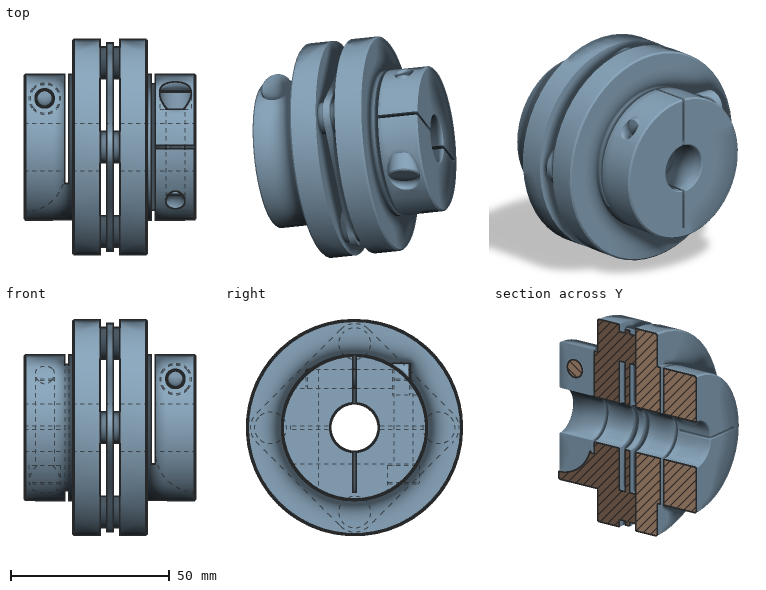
import cadquery as cq
import math


overall_length = 54.0
hub_radius = 23.0
bore_radius = 7.5
flange_radius = 34.0
flange_width = 8.6
flange_gap = 6.2
edge_chamfer = 0.5
bore_chamfer = 0.3

relief_width = 1.2
relief_offset = 1.3
relief_floor = -11.4
slit_width = 1.1

screw_offset = 15.35
shank_radius = 3.0
head_radius = 5.0
head_seat = 11.9
head_length = 5.8
tip_reach = 15.35
tip_chamfer = 0.5
head_chamfer = 0.4

disc_thickness = 2.1
spacer_count = 4
lobe_offset = 26.55
lobe_radius = 6.3
spacer_radius = 5.0

hub_end = -overall_length / 2
flange_inner = -flange_gap / 2
flange_outer = flange_inner - flange_width
relief_end = flange_outer - relief_offset
clamp_inner = relief_end - relief_width
clamp_length = clamp_inner - hub_end
screw_x = (hub_end + clamp_inner) / 2


def rod(start, end, radius):
    """Cylinder along X."""
    return cq.Workplane("YZ").workplane(offset=start).circle(radius).extrude(end - start)


def cross_rod(bottom, top, radius):
    """Cylinder along Z on the axis of the clamp screw."""
    plane = cq.Workplane("XY", origin=(screw_x, screw_offset, bottom))
    return plane.circle(radius).extrude(top - bottom)


def relief_slot():
    """Slot that frees the clamp ring from the flange, except for a hinge on the -Y side."""
    height = hub_radius - relief_floor
    slot = cq.Workplane("XY").box(relief_width, height, 2 * hub_radius, centered=(False, False, True))
    return slot.translate((clamp_inner, relief_floor, 0))


def clamp_slit():
    """Slit open towards +Y, ending towards -Y in an arc centred on the bore edge at the end face."""
    profile = (
        cq.Workplane("XY", origin=(0, 0, -slit_width / 2))
        .moveTo(hub_end, hub_radius)
        .lineTo(clamp_inner, hub_radius)
        .lineTo(clamp_inner, -bore_radius)
        .radiusArc((hub_end, -bore_radius - clamp_length), clamp_length)
        .close()
    )
    return profile.extrude(slit_width)


def make_hub():
    barrel = rod(hub_end, flange_outer, hub_radius).faces("<X").chamfer(edge_chamfer)
    flange = rod(flange_outer, flange_inner, flange_radius).faces("<X").chamfer(edge_chamfer)
    hub = barrel.union(flange).cut(rod(hub_end, flange_inner, bore_radius))
    bore_edge = cq.selectors.RadiusNthSelector(0)
    hub = hub.faces("<X").edges(bore_edge).chamfer(bore_chamfer)
    hub = hub.cut(relief_slot()).cut(clamp_slit())
    shank_hole = cross_rod(-hub_radius, hub_radius, shank_radius)
    head_pocket = cross_rod(-hub_radius, -head_seat, head_radius)
    return hub.cut(shank_hole).cut(head_pocket)


def make_screw():
    head = cross_rod(-head_seat - head_length, -head_seat, head_radius).faces("<Z").chamfer(head_chamfer)
    shank = cross_rod(-head_seat, tip_reach, shank_radius).faces(">Z").chamfer(tip_chamfer)
    return head.union(shank)


def to_right_side(body):
    """Mirror a left-hand body across the disc and turn it a quarter turn about X."""
    return body.mirror("YZ").rotate((0, 0, 0), (1, 0, 0), 90)


def make_disc():
    """Square plate with rounded lobes on the Y and Z axes and a spacer through each lobe."""
    half_side = lobe_offset / math.sqrt(2) + lobe_radius
    disc = (
        cq.Workplane("YZ")
        .box(2 * half_side, 2 * half_side, disc_thickness)
        .edges("|X")
        .fillet(lobe_radius)
        .rotate((0, 0, 0), (1, 0, 0), 45)
    )
    spacers = (
        cq.Workplane("YZ", origin=(flange_inner, 0, 0))
        .polarArray(lobe_offset, 0, 360, spacer_count)
        .circle(spacer_radius)
        .extrude(flange_gap)
    )
    disc = disc.union(spacers)
    return disc.cut(rod(flange_inner, -flange_inner, bore_radius))


left_hub = make_hub()
left_screw = make_screw()
right_hub = to_right_side(left_hub).union(make_disc())
right_screw = to_right_side(left_screw)

result = cq.Compound.makeCompound(
    [body.solids().val() for body in (left_hub, left_screw, right_hub, right_screw)]
)